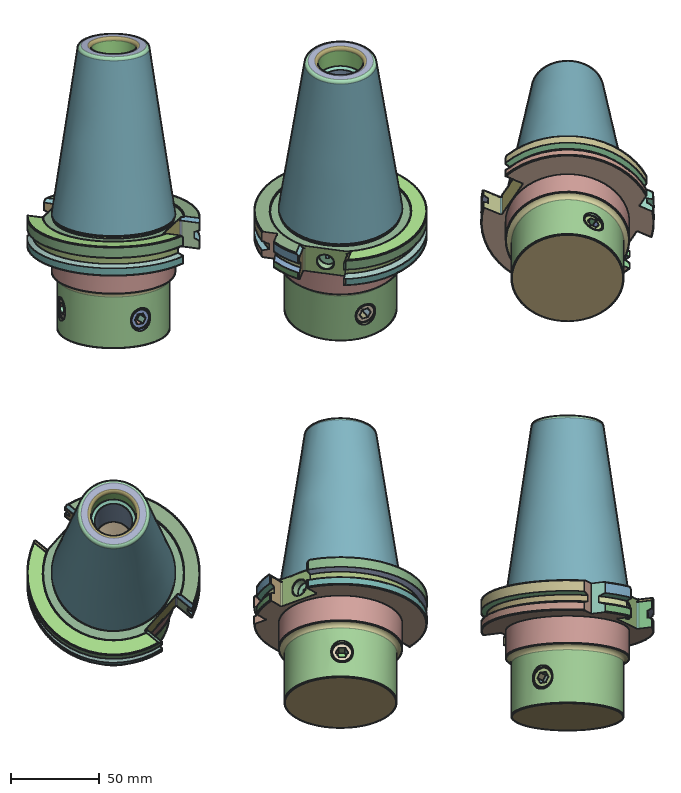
import cadquery as cq
import math

taper_length = 101.6
projection = 69.0

gauge_radius = 69.85 / 2
taper_slope = 7 / 48
taper_end_radius = gauge_radius - taper_slope * taper_length
taper_end_round = 2.0

flange_radius = 97.5 / 2
flange_top = -1.5
flange_bottom = -19.1
flange_edge_chamfer = 0.5
recess_radius = 39.5
recess_depth = 0.5
recess_floor = flange_top - recess_depth
groove_center = -11.2
groove_depth = 3.2
groove_floor_width = 3.5
groove_mouth_width = 6.4

relief_depth = 0.6
relief_height = 1.0

neck_radius = gauge_radius
neck_bottom = -34.6
neck_edge_chamfer = 0.4
nose_radius = 63.5 / 2
nose_blend_radius = neck_radius - neck_edge_chamfer - nose_radius
nose_edge_chamfer = 0.5

bore_mouth_radius = 14.6
bore_radius = 12.7
bore_mouth_round = bore_mouth_radius - bore_radius
bore_depth = 12.5
drill_radius = 10.6
bore_step_height = 1.2
drill_depth = 45.0
drill_point_height = drill_radius / math.tan(math.radians(59))

slot_half_width = 12.85
left_slot_floor = 37.5
right_slot_floor = 35.3
slot_floor_fillet = 0.8
slot_top_chamfer = 2.1
flat_to_flat = 93.52

notch_x = 30.0
notch_y = 29.6

chip_hole_diameter = 9.6
chip_hole_depth = 5.0
chip_hole_chamfer = 0.3
chip_center_hole_diameter = 2.0
chip_center_hole_depth = 3.0

screw_angles = (90, 220, 320)
screw_height = -52.9
screw_radius = 6.0
screw_outer_face = 30.8
screw_length = 14.0
screw_edge_chamfer = 0.5
socket_across_flats = 6.0
socket_depth = 7.0
countersink_radius = 6.9

cut_margin = 1.0


def make_turned_blank():
    """Revolve the full outer outline of the holder about Z."""
    nose_blend_end = neck_bottom - neck_edge_chamfer - nose_blend_radius
    blend_center_radius = nose_radius + nose_blend_radius
    blend_middle = nose_blend_radius * math.sqrt(0.5)
    groove_half_mouth = groove_mouth_width / 2
    groove_half_floor = groove_floor_width / 2
    groove_radius = flange_radius - groove_depth

    outline = (
        cq.Workplane("XZ")
        .moveTo(0, taper_length)
        .lineTo(taper_end_radius, taper_length)
        .lineTo(gauge_radius, 0)
        .lineTo(gauge_radius - relief_depth, -relief_height)
        .lineTo(gauge_radius - relief_depth, recess_floor)
        .lineTo(recess_radius, recess_floor)
        .lineTo(recess_radius + recess_depth, flange_top)
        .lineTo(flange_radius - flange_edge_chamfer, flange_top)
        .lineTo(flange_radius, flange_top - flange_edge_chamfer)
        .lineTo(flange_radius, groove_center + groove_half_mouth)
        .lineTo(groove_radius, groove_center + groove_half_floor)
        .lineTo(groove_radius, groove_center - groove_half_floor)
        .lineTo(flange_radius, groove_center - groove_half_mouth)
        .lineTo(flange_radius, flange_bottom + flange_edge_chamfer)
        .lineTo(flange_radius - flange_edge_chamfer, flange_bottom)
        .lineTo(neck_radius, flange_bottom)
        .lineTo(neck_radius, neck_bottom)
        .lineTo(neck_radius - neck_edge_chamfer, neck_bottom - neck_edge_chamfer)
        .threePointArc(
            (blend_center_radius - blend_middle, nose_blend_end + blend_middle),
            (nose_radius, nose_blend_end),
        )
        .lineTo(nose_radius, nose_edge_chamfer - projection)
        .lineTo(nose_radius - nose_edge_chamfer, -projection)
        .lineTo(0, -projection)
        .close()
    )
    blank = outline.revolve(360, (0, 0, 0), (0, 1, 0))
    return blank.faces(">Z").edges().fillet(taper_end_round)


def make_stepped_bore():
    """Rounded mouth, plain bore, conical step and pointed drill hole."""
    mouth_middle = bore_mouth_round * (1 - math.sqrt(0.5))
    outline = (
        cq.Workplane("XZ")
        .moveTo(0, taper_length)
        .lineTo(bore_mouth_radius, taper_length)
        .threePointArc(
            (bore_radius + mouth_middle, taper_length - mouth_middle),
            (bore_radius, taper_length - bore_mouth_round),
        )
        .lineTo(bore_radius, taper_length - bore_depth)
        .lineTo(drill_radius, taper_length - bore_depth - bore_step_height)
        .lineTo(drill_radius, taper_length - drill_depth)
        .lineTo(0, taper_length - drill_depth - drill_point_height)
        .close()
    )
    return outline.revolve(360, (0, 0, 0), (0, 1, 0))


def make_slot(floor_distance):
    """Driving slot opening toward +X, with filleted floor corners, a flared top rim and a flat mouth."""
    outer_x = flange_radius + cut_margin
    top = flange_top + cut_margin
    channel = (
        cq.Workplane("XY", origin=(0, 0, flange_bottom))
        .moveTo((floor_distance + outer_x) / 2, 0)
        .rect(outer_x - floor_distance, 2 * slot_half_width)
        .extrude(top - flange_bottom)
        .edges("|Z and <X")
        .fillet(slot_floor_fillet)
    )

    rim_half_width = slot_half_width + slot_top_chamfer
    top_rim = (
        cq.Workplane("YZ", origin=(floor_distance, 0, 0))
        .moveTo(-slot_half_width, flange_top - slot_top_chamfer)
        .lineTo(slot_half_width, flange_top - slot_top_chamfer)
        .lineTo(rim_half_width, flange_top)
        .lineTo(rim_half_width, top)
        .lineTo(-rim_half_width, top)
        .lineTo(-rim_half_width, flange_top)
        .close()
        .extrude(outer_x - floor_distance)
    )

    flat_x = flat_to_flat / 2
    mouth = (
        cq.Workplane("XY", origin=(0, 0, flange_bottom))
        .moveTo((flat_x + outer_x) / 2, 0)
        .rect(outer_x - flat_x, flange_radius)
        .extrude(top - flange_bottom)
    )
    return channel.union(top_rim).union(mouth)


def make_notch():
    """Square-cornered notch through the full thickness of the flange."""
    reach = flange_radius + cut_margin
    return (
        cq.Workplane("XY", origin=(0, 0, flange_bottom))
        .moveTo(-notch_x, notch_y)
        .lineTo(-notch_x, reach)
        .lineTo(-reach, reach)
        .lineTo(-reach, notch_y)
        .close()
        .extrude(flange_top + cut_margin - flange_bottom)
    )


def make_chip_hole():
    """Blind round hole in the left slot floor with a chamfered rim and a small center hole."""
    chip_hole = (
        cq.Workplane("YZ", origin=(-left_slot_floor, 0, groove_center))
        .circle(chip_hole_diameter / 2)
        .extrude(chip_hole_depth)
    )
    center_hole = (
        cq.Workplane("YZ", origin=(chip_hole_depth - left_slot_floor, 0, groove_center))
        .circle(chip_center_hole_diameter / 2)
        .extrude(chip_center_hole_depth)
    )
    countersink = (
        cq.Workplane("YZ", origin=(-left_slot_floor, 0, groove_center))
        .circle(chip_hole_diameter / 2 + chip_hole_chamfer)
        .extrude(chip_hole_chamfer, taper=45)
    )
    return chip_hole.union(center_hole).union(countersink)


def place_radially(shape, angle):
    """Move a shape built along +X to its angle and height on the nose."""
    return shape.rotate((0, 0, 0), (0, 0, 1), angle).translate((0, 0, screw_height))


def make_screw():
    """Set screw along +X with a hexagon socket in its outer face."""
    socket_across_corners = socket_across_flats / math.cos(math.radians(30))
    socket = (
        cq.Workplane("YZ", origin=(screw_outer_face, 0, 0))
        .polygon(6, socket_across_corners)
        .extrude(-socket_depth)
    )
    return (
        cq.Workplane("YZ", origin=(screw_outer_face, 0, 0))
        .circle(screw_radius)
        .extrude(-screw_length)
        .faces(">X")
        .chamfer(screw_edge_chamfer)
        .cut(socket)
    )


def make_screw_hole():
    """Blind hole along +X that fits a set screw, with a countersunk mouth."""
    inner_end = screw_outer_face - screw_length
    outer_end = nose_radius + cut_margin
    countersink_start = nose_radius - (countersink_radius - screw_radius)
    countersink_growth = outer_end - countersink_start
    outline = (
        cq.Workplane("XY")
        .moveTo(inner_end, 0)
        .lineTo(inner_end, screw_radius)
        .lineTo(countersink_start, screw_radius)
        .lineTo(outer_end, screw_radius + countersink_growth)
        .lineTo(outer_end, 0)
        .close()
    )
    return outline.revolve(360, (0, 0, 0), (1, 0, 0))


holder = make_turned_blank().cut(make_stepped_bore())
holder = holder.cut(make_slot(right_slot_floor))
holder = holder.cut(make_slot(left_slot_floor).rotate((0, 0, 0), (0, 0, 1), 180))
holder = holder.cut(make_notch()).cut(make_chip_hole())
for angle in screw_angles:
    holder = holder.cut(place_radially(make_screw_hole(), angle))

screws = [place_radially(make_screw(), angle) for angle in screw_angles]

result = cq.Compound.makeCompound([holder.val(), *[screw.val() for screw in screws]])